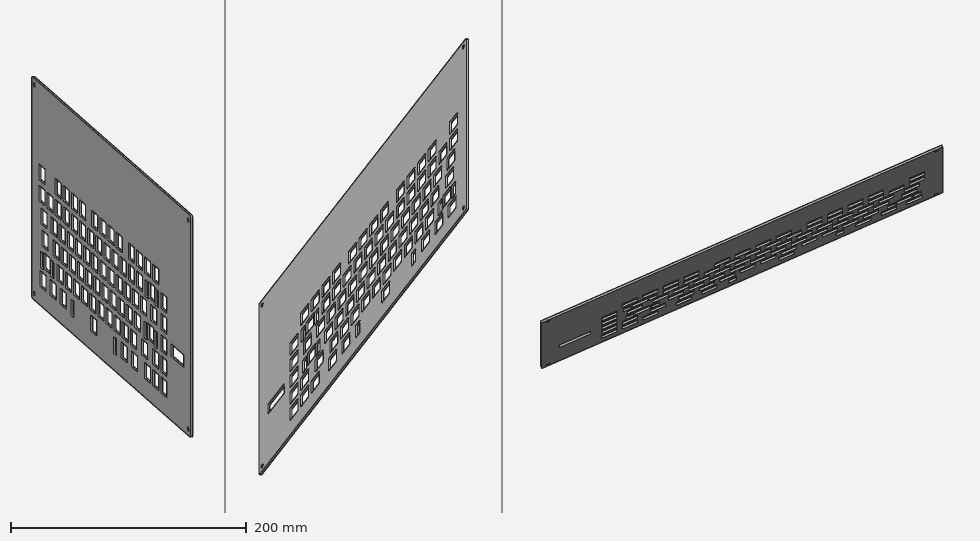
import cadquery as cq

plate_width = 372.5
plate_height = 200.0
plate_thickness = 2.0
corner_radius = 2.0

screw_hole_diameter = 3.4
screw_hole_inset = 6.0

key_row_span = 285.7
key_row_units = 15
key_pitch = key_row_span / key_row_units

total_web_width = 75.5
key_opening = (key_row_span - total_web_width) / key_row_units

opening_radius = 0.7

grid_side_margin = 24.0
grid_bottom_margin = 24.2
grid_left = grid_side_margin - plate_width / 2
grid_bottom = grid_bottom_margin - plate_height / 2

stabilizer_width = 7.0
stabilizer_height = 14.5
stabilizer_drop = 1.5
long_key_reach = 12.0
space_bar_reach = 50.0

window_width = 29.0
window_height = 11.0
window_x = 155.5
window_z = -36.5


def key_run(first, count):
    """Neighbouring single-width keys, as column positions in key units."""
    return [first + step for step in range(count)]


key_rows = [
    [0.125, 1.375, 2.625, 6.375, 10.125, 11.375] + key_run(13, 3),
    [0.625] + key_run(2.25, 10) + [12.625, 14, 15],
    [0.375] + key_run(1.75, 11) + [13.375, 15],
    [0.25] + key_run(1.5, 12) + [13.75, 15],
    key_run(0, 13) + [13.5, 15],
    [0] + key_run(2, 4) + key_run(6.5, 4) + key_run(11, 4),
]

stabilized_keys = [
    (6.375, 0, space_bar_reach),
    (0.625, 1, long_key_reach),
    (13.375, 2, long_key_reach),
    (13.5, 4, long_key_reach),
]


def grid_point(column, row):
    """Plate coordinates (X, Z) of a position on the key grid."""
    return grid_left + column * key_pitch, grid_bottom + row * key_pitch


def front_plane():
    """Sketch plane through the middle of the plate's thickness."""
    return cq.Workplane("XZ")


def through_openings(centres, width, height):
    """Rectangular cutters that pass through the plate at the given centres."""
    cutters = front_plane().pushPoints(centres).rect(width, height).extrude(plate_thickness, both=True)
    return cutters.edges("|Y").fillet(opening_radius)


def make_plate():
    blank = front_plane().rect(plate_width, plate_height).extrude(plate_thickness / 2, both=True)
    return blank.edges("|Y").fillet(corner_radius)


def screw_hole_cutters():
    corners = front_plane().rect(
        plate_width - 2 * screw_hole_inset,
        plate_height - 2 * screw_hole_inset,
        forConstruction=True,
    )
    return corners.vertices().circle(screw_hole_diameter / 2).extrude(plate_thickness, both=True)


def key_cutters():
    centres = [grid_point(column, row) for row, columns in enumerate(key_rows) for column in columns]
    return through_openings(centres, key_opening, key_opening)


def stabilizer_cutters():
    centres = []
    for column, row, reach in stabilized_keys:
        key_x, key_z = grid_point(column, row)
        for side in (-1, 1):
            centres.append((key_x + side * reach, key_z - stabilizer_drop))
    return through_openings(centres, stabilizer_width, stabilizer_height)


result = (
    make_plate()
    .cut(screw_hole_cutters())
    .cut(key_cutters())
    .cut(stabilizer_cutters())
    .cut(through_openings([(window_x, window_z)], window_width, window_height))
)